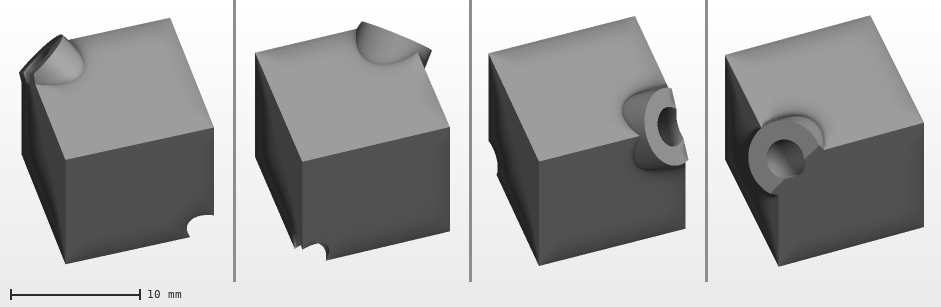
import cadquery as cq
import math

overall_size = 13.62
cube_side = 12.0
tube_diameter = 6.1
bore_diameter = 3.1
tube_length = 8.17

tube_reach = tube_diameter / 2 * math.sqrt(2 / 3)
tip_overhang = overall_size - cube_side
tip_inset = tube_reach - tip_overhang
diagonal = cube_side * math.sqrt(3)

tip_plane = cq.Plane(
    origin=(tip_inset, tip_inset, cube_side - tip_inset),
    xDir=(1, -1, 0),
    normal=(-1, -1, 1),
)


def diagonal_cylinder(diameter, length):
    """Cylinder on the tube axis; a negative length runs into the cube."""
    return cq.Workplane(tip_plane).circle(diameter / 2).extrude(length)


cube = cq.Workplane("XY").box(cube_side, cube_side, cube_side, centered=False)

front_trim = cq.Workplane("XY").box(
    2 * overall_size, overall_size, 2 * overall_size, centered=(True, False, True)
).translate((0, 0, cube_side))
tube = diagonal_cylinder(tube_diameter, -tube_length).intersect(front_trim)

corner_cut = diagonal_cylinder(tube_diameter, tube_diameter)

bore = diagonal_cylinder(bore_diameter, -diagonal)

result = cube.union(tube).cut(corner_cut).cut(bore)